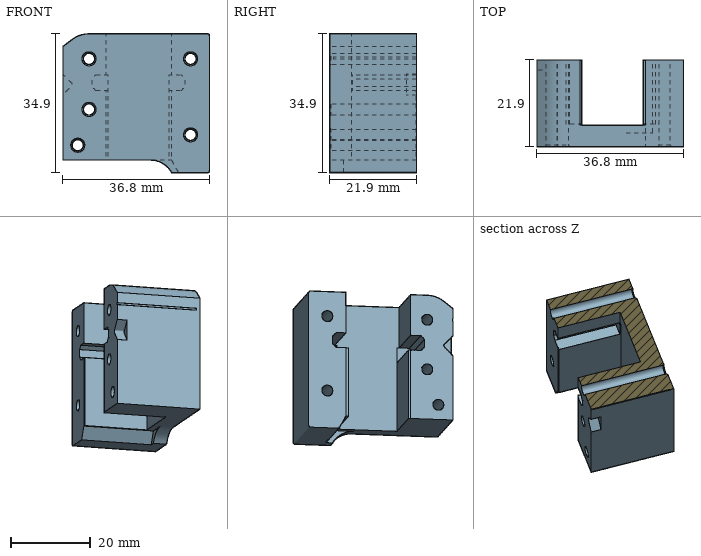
import cadquery as cq
import math

width = 36.83
depth = 21.85
height = 34.9
corner_radius = 0.48

slope_start_z = 31.7
slope_end_x = 2.43
slope_end_z = 33.55
blend_end_x = 6.35

underside_z = 3.15
foot_x = 27.33
foot_arc_radius = 6.0
foot_relief_y = 3.5
foot_relief_top_x = 27.33
foot_relief_bottom_x = 29.1

slot_left = 10.83
slot_right = 27.33
slot_front_y = 5.45
left_ledge = 0.5
right_ledge = 0.65
ledge_back_gap = 0.1

channel_bottom_z = 20.7
channel_top_z = 24.5
channel_front_y = 5.7
channel_depth = 4.05
channel_chamfer = 0.92

hole_diameter = 2.75
countersink_diameter = 3.55
left_column_x = 6.6
right_column_x = 32.08
upper_row_z = 28.6
hole_centers = [
    (left_column_x, upper_row_z),
    (left_column_x, 15.9),
    (3.75, 6.92),
    (right_column_x, upper_row_z),
    (right_column_x, 9.55),
]

notch_center_z = 22.17
notch_half_height = 2.58
notch_length = 2.58
notch_radius = 0.5

groove_bottom_z = 28.58
groove_height = 0.48
groove_front_y = 0.92
groove_depth = 0.1


def box(x0, x1, y0, y1, z0, z1):
    return cq.Workplane("XY").box(x1 - x0, y1 - y0, z1 - z0, centered=False).translate((x0, y0, z0))


def front_sketch(y):
    """Workplane facing the front at depth y; extrude by a negative length to go deeper."""
    return cq.Workplane("XZ", origin=(0, y, 0))


def make_block():
    arc_center_z = underside_z - foot_arc_radius
    arc_angle = math.acos(-arc_center_z / foot_arc_radius)
    arc_center_x = foot_x - foot_arc_radius * math.sin(arc_angle)
    arc_middle = (
        arc_center_x + foot_arc_radius * math.sin(arc_angle / 2),
        arc_center_z + foot_arc_radius * math.cos(arc_angle / 2),
    )
    outline = (
        front_sketch(0)
        .moveTo(0, underside_z)
        .lineTo(0, slope_start_z)
        .lineTo(slope_end_x, slope_end_z)
        .tangentArcPoint((blend_end_x, height), relative=False)
        .lineTo(width, height)
        .lineTo(width, 0)
        .lineTo(foot_x, 0)
        .threePointArc(arc_middle, (arc_center_x, underside_z))
        .close()
    )
    return outline.extrude(-depth).edges("|Y and >X").fillet(corner_radius)


def make_foot_relief():
    """Sloped cut that sets the foot back behind the front wall."""
    return (
        front_sketch(foot_relief_y)
        .polyline([
            (0, 0),
            (0, underside_z),
            (foot_relief_top_x, underside_z),
            (foot_relief_bottom_x, 0),
        ])
        .close()
        .extrude(foot_relief_y - depth)
    )


def make_slot():
    upper = box(slot_left, slot_right, slot_front_y, depth, channel_top_z, height)
    lower = box(
        slot_left + left_ledge, slot_right - right_ledge, slot_front_y, depth, 0, channel_top_z
    )
    ledge_ends = box(slot_left, slot_right, depth - ledge_back_gap, depth, 0, channel_top_z)
    return upper.union(lower).union(ledge_ends)


def make_channels():
    left = slot_left + left_ledge - channel_depth
    right = slot_right - right_ledge + channel_depth
    channels = box(left, right, channel_front_y, depth, channel_bottom_z, channel_top_z)
    return channels.edges("|Y").chamfer(channel_chamfer)


def make_holes():
    holes = front_sketch(0).pushPoints(hole_centers).circle(hole_diameter / 2).extrude(-depth)
    countersink_depth = (countersink_diameter - hole_diameter) / 2
    for x, z in hole_centers:
        countersink = cq.Solid.makeCone(
            countersink_diameter / 2, hole_diameter / 2, countersink_depth,
            cq.Vector(x, 0, z), cq.Vector(0, 1, 0),
        )
        holes = holes.union(cq.Workplane(countersink))
    return holes


def make_notch():
    return (
        front_sketch(depth - notch_length)
        .polyline([
            (0, notch_center_z - notch_half_height),
            (notch_half_height, notch_center_z),
            (0, notch_center_z + notch_half_height),
        ])
        .close()
        .extrude(-notch_length)
        .edges("|Y and >X")
        .fillet(notch_radius)
    )


def make_groove():
    return box(
        0, groove_depth, groove_front_y, depth, groove_bottom_z, groove_bottom_z + groove_height
    )


result = (
    make_block()
    .cut(make_foot_relief())
    .cut(make_slot())
    .cut(make_channels())
    .cut(make_holes())
    .cut(make_notch())
    .cut(make_groove())
)